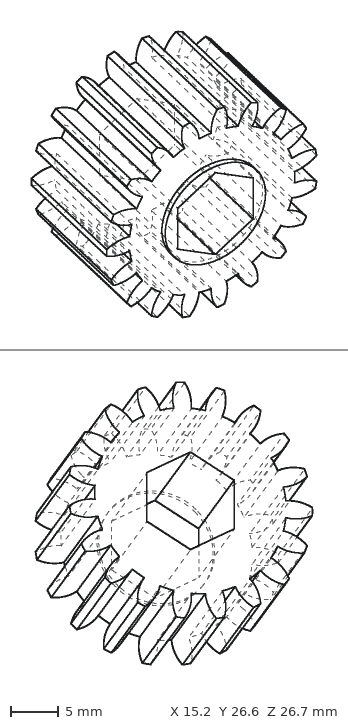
import cadquery as cq
import math

tooth_count = 19
tip_radius = 13.35
pitch_radius = 12.07
root_radius = 10.47

tip_half_width = 0.45
pitch_half_width = 0.93
root_half_width = 0.95

gear_width = 14.6
hub_length = 0.65
hub_diameter = 12.7
hex_across_flats = 9.55
root_overlap = 0.53


def distance_along_tooth(radius, half_width):
    """Distance from the axis, along the tooth centreline, to a flank point."""
    return math.sqrt(radius**2 - half_width**2)


def make_tooth():
    """One tooth pointing along -Y, with arched flanks and a round tip."""
    tip = -distance_along_tooth(tip_radius, tip_half_width)
    pitch = -distance_along_tooth(pitch_radius, pitch_half_width)
    root = -distance_along_tooth(root_radius, root_half_width)
    base = root + root_overlap
    return (
        cq.Workplane("YZ")
        .moveTo(base, -root_half_width)
        .lineTo(root, -root_half_width)
        .threePointArc((pitch, -pitch_half_width), (tip, -tip_half_width))
        .threePointArc((-tip_radius, 0), (tip, tip_half_width))
        .threePointArc((pitch, pitch_half_width), (root, root_half_width))
        .lineTo(base, root_half_width)
        .close()
        .extrude(gear_width)
    )


def make_hex_bore():
    """Hexagonal through bore with two corners on the Z axis."""
    across_corners = hex_across_flats / math.cos(math.radians(30))
    return (
        cq.Workplane("YZ")
        .transformed(rotate=(0, 0, 90))
        .polygon(6, across_corners)
        .extrude(gear_width + hub_length)
    )


result = cq.Workplane("YZ").circle(root_radius).extrude(gear_width)

tooth = make_tooth()
for index in range(tooth_count):
    angle = index * 360 / tooth_count
    result = result.union(tooth.rotate((0, 0, 0), (1, 0, 0), angle))

hub = cq.Workplane("YZ", origin=(gear_width, 0, 0)).circle(hub_diameter / 2).extrude(hub_length)
result = result.union(hub)

result = result.cut(make_hex_bore())